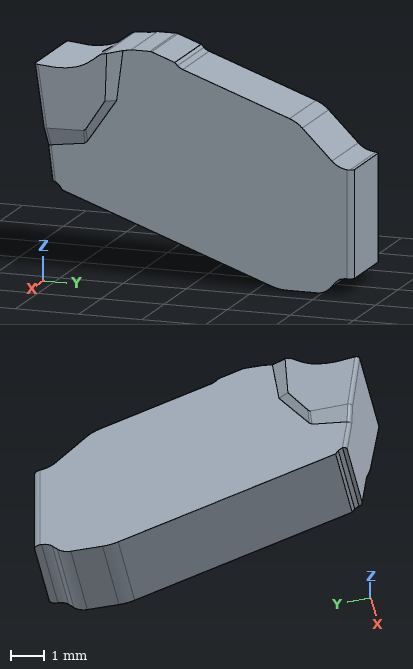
import cadquery as cq
import math

LENGTH = 10.0
HEIGHT = 7.0
BODY_WIDTH = 2.39
EDGE_WIDTH = 3.0

SLOPE = math.tan(math.radians(20))

EDGE_Z = 6.4
LIP_Y, LIP_Z = 0.45, 2.75
LIP_BACK_Y, LIP_BACK_Z = 0.57, 2.73
LIP_RAMP_Y, LIP_RAMP_Z = 0.70, 2.63
UNDERSIDE_FRONT_Y, UNDERSIDE_FRONT_Z = 0.78, 2.50

REAR_TOP_Z = 3.87
REAR_BOTTOM_Z = 0.51
UPPER_RAMP_Y = 9.56
LOWER_RAMP_TOP_Y = 9.56
LOWER_RAMP_BOTTOM_Y = 9.11

CROWN_BACK_Y = 3.59
CROWN_FRONT_Y = 2.97
STEP_Y = 4.35
STEP_RUN = 0.16
BREAKER_Y, BREAKER_Z = 2.09, 6.85

HOLLOW_BACK = (1.5, 6.46)
HOLLOW_FLOOR = (0.8, 6.33)
HOLLOW_ENTRY_ANGLE = 38
EDGE_RISE_ANGLE = 6

UPPER_RAMP_FOOT_RADIUS = 0.8
SHOULDER_RADIUS = 1.1
STEP_FOOT_RADIUS = 0.45
CROWN_RADIUS = 0.17
BREAKER_RADIUS = 0.32
LOWER_RAMP_TOP_RADIUS = 0.44
LOWER_RAMP_BOTTOM_RADIUS = 0.55
UNDERSIDE_RADIUS = 1.4

FRONT_CORNER_RADIUS = 0.12
FLANK_TAPER_BACK = 0.045
FLANK_TAPER_DOWN = 0.045
NECK_TAPER = 0.54
CORNER_TAPER = 0.335
CHIN_TAPER = 0.36
NECK_TOP_Y, NECK_TOP_Z = 2.71, 6.95
NECK_KNEE_Y, NECK_KNEE_Z = 2.51, 5.40
NECK_BOTTOM_Y, NECK_BOTTOM_Z = 1.59, 4.08
CHIN_BACK_Y, CHIN_BACK_Z = 1.50, 4.0
CHIN_FRONT_Y, CHIN_FRONT_Z = 0.42, 3.86

REAR_ROUND_DEPTH = 0.12
REAR_ROUND_LENGTH = 0.2

BODY_HALF = BODY_WIDTH / 2
EDGE_HALF = EDGE_WIDTH / 2


def make_profile():
    """Side outline with its corners rounded, extruded wider than the finished part."""
    step_foot_y = STEP_Y + STEP_RUN
    step_top_z = HEIGHT - SLOPE * (STEP_Y - CROWN_BACK_Y)
    step_foot_z = step_top_z - STEP_RUN
    shoulder_y = (UPPER_RAMP_Y + REAR_TOP_Z - step_foot_z - SLOPE * step_foot_y) / (1 - SLOPE)
    shoulder_z = REAR_TOP_Z + UPPER_RAMP_Y - shoulder_y
    hollow_points = [HOLLOW_BACK, HOLLOW_FLOOR, (0, EDGE_Z)]
    hollow_tangents = [
        (-1, -math.tan(math.radians(HOLLOW_ENTRY_ANGLE))),
        (-1, math.tan(math.radians(EDGE_RISE_ANGLE))),
    ]
    underside_y = UNDERSIDE_FRONT_Y + UNDERSIDE_FRONT_Z / SLOPE

    solid = (
        cq.Workplane("YZ", origin=(-EDGE_WIDTH, 0, 0))
        .moveTo(0, EDGE_Z)
        .lineTo(LIP_Y, LIP_Z)
        .lineTo(LIP_BACK_Y, LIP_BACK_Z)
        .lineTo(LIP_RAMP_Y, LIP_RAMP_Z)
        .lineTo(UNDERSIDE_FRONT_Y, UNDERSIDE_FRONT_Z)
        .lineTo(underside_y, 0)
        .lineTo(LOWER_RAMP_BOTTOM_Y, 0)
        .lineTo(LOWER_RAMP_TOP_Y, REAR_BOTTOM_Z)
        .lineTo(LENGTH, REAR_BOTTOM_Z)
        .lineTo(LENGTH, REAR_TOP_Z)
        .lineTo(UPPER_RAMP_Y, REAR_TOP_Z)
        .lineTo(shoulder_y, shoulder_z)
        .lineTo(step_foot_y, step_foot_z)
        .lineTo(STEP_Y, step_top_z)
        .lineTo(CROWN_BACK_Y, HEIGHT)
        .lineTo(CROWN_FRONT_Y, HEIGHT)
        .lineTo(BREAKER_Y, BREAKER_Z)
        .spline(hollow_points, tangents=hollow_tangents, includeCurrent=True)
        .close()
        .extrude(2 * EDGE_WIDTH)
    )
    corners = [
        (underside_y, 0, UNDERSIDE_RADIUS),
        (LOWER_RAMP_BOTTOM_Y, 0, LOWER_RAMP_BOTTOM_RADIUS),
        (LOWER_RAMP_TOP_Y, REAR_BOTTOM_Z, LOWER_RAMP_TOP_RADIUS),
        (UPPER_RAMP_Y, REAR_TOP_Z, UPPER_RAMP_FOOT_RADIUS),
        (shoulder_y, shoulder_z, SHOULDER_RADIUS),
        (step_foot_y, step_foot_z, STEP_FOOT_RADIUS),
        (CROWN_BACK_Y, HEIGHT, CROWN_RADIUS),
        (BREAKER_Y, BREAKER_Z, BREAKER_RADIUS),
    ]
    for y, z, radius in corners:
        solid = solid.edges("|X").edges(cq.NearestToPointSelector((0, y, z))).fillet(radius)
    return solid


def make_body_slab():
    """Plan of the plain body, with its two rear corners rounded off."""
    radius = (REAR_ROUND_DEPTH**2 + REAR_ROUND_LENGTH**2) / (2 * REAR_ROUND_DEPTH)
    half_sweep = math.asin(REAR_ROUND_LENGTH / radius) / 2
    round_start_y = LENGTH - REAR_ROUND_LENGTH
    rear_half = BODY_HALF - REAR_ROUND_DEPTH
    mid_x = BODY_HALF - radius * (1 - math.cos(half_sweep))
    mid_y = round_start_y + radius * math.sin(half_sweep)
    return (
        cq.Workplane("XY")
        .moveTo(-BODY_HALF, 0)
        .lineTo(BODY_HALF, 0)
        .lineTo(BODY_HALF, round_start_y)
        .threePointArc((mid_x, mid_y), (rear_half, LENGTH))
        .lineTo(-rear_half, LENGTH)
        .threePointArc((-mid_x, mid_y), (-BODY_HALF, round_start_y))
        .close()
        .extrude(HEIGHT)
    )


def trim(solid, point, normal):
    """Cut off what lies beyond a plane (given for the +X side) and beyond its mirror image."""
    size = 4 * LENGTH
    waste = cq.Workplane(cq.Plane(origin=point, normal=normal)).rect(size, size).extrude(size)
    return solid.cut(waste).cut(waste.mirror("YZ"))


def trim_neck(solid, upper, lower, taper):
    """Trim behind a sloping face that leaves the body side along the line upper-lower."""
    (upper_y, upper_z), (lower_y, lower_z) = upper, lower
    lean = (upper_y - lower_y) / (upper_z - lower_z)
    return trim(solid, (BODY_HALF, upper_y, upper_z), (1, taper, -taper * lean))


def make_head():
    """Envelope of the wider head, bounded on each side by its tapered faces."""
    head = cq.Workplane("XY").box(2 * EDGE_WIDTH, LENGTH, HEIGHT, centered=(True, False, False))
    flank_point = (EDGE_HALF, FRONT_CORNER_RADIUS, EDGE_Z)
    head = trim(head, flank_point, (1, FLANK_TAPER_BACK, -FLANK_TAPER_DOWN))
    knee = (NECK_KNEE_Y, NECK_KNEE_Z)
    neck_bottom = (NECK_BOTTOM_Y, NECK_BOTTOM_Z)
    head = trim_neck(head, (NECK_TOP_Y, NECK_TOP_Z), knee, NECK_TAPER)
    head = trim_neck(head, knee, neck_bottom, NECK_TAPER)
    head = trim_neck(head, neck_bottom, (CHIN_BACK_Y, CHIN_BACK_Z), CORNER_TAPER)
    chin_rise = (CHIN_BACK_Z - CHIN_FRONT_Z) / (CHIN_BACK_Y - CHIN_FRONT_Y)
    chin_normal = (1, CHIN_TAPER * chin_rise, -CHIN_TAPER)
    return trim(head, (BODY_HALF, CHIN_FRONT_Y, CHIN_FRONT_Z), chin_normal)


def round_front_corners(solid):
    """Round the side edges of the front clearance face."""
    front = solid.faces(cq.NearestToPointSelector((0, LIP_Y / 2, (EDGE_Z + LIP_Z) / 2)))
    return front.edges("not |X").fillet(FRONT_CORNER_RADIUS)


width_limits = make_body_slab().union(make_head())
result = round_front_corners(make_profile().intersect(width_limits))